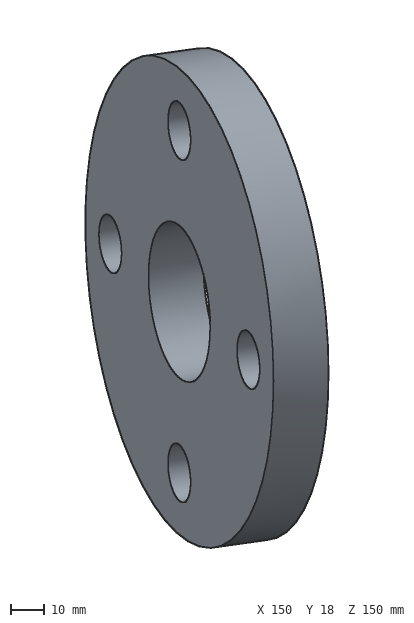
import cadquery as cq

outer_diameter = 150.0
thickness = 18.0
bore_diameter = 49.0

bolt_circle_diameter = 110.0
bolt_hole_diameter = 18.0
bolt_hole_count = 4


def back_face_plane():
    """Sketch plane on the +Y face; its normal points to -Y."""
    return cq.Workplane("XZ", origin=(0, thickness / 2, 0))


def make_ring():
    """Disc with a central through bore, centred on the origin."""
    return (
        back_face_plane()
        .circle(outer_diameter / 2)
        .circle(bore_diameter / 2)
        .extrude(thickness)
    )


def make_bolt_hole_cutters():
    """Full-thickness cylinders equally spaced on the bolt circle."""
    return (
        back_face_plane()
        .polarArray(bolt_circle_diameter / 2, 0, 360, bolt_hole_count)
        .circle(bolt_hole_diameter / 2)
        .extrude(thickness)
    )


result = make_ring().cut(make_bolt_hole_cutters())